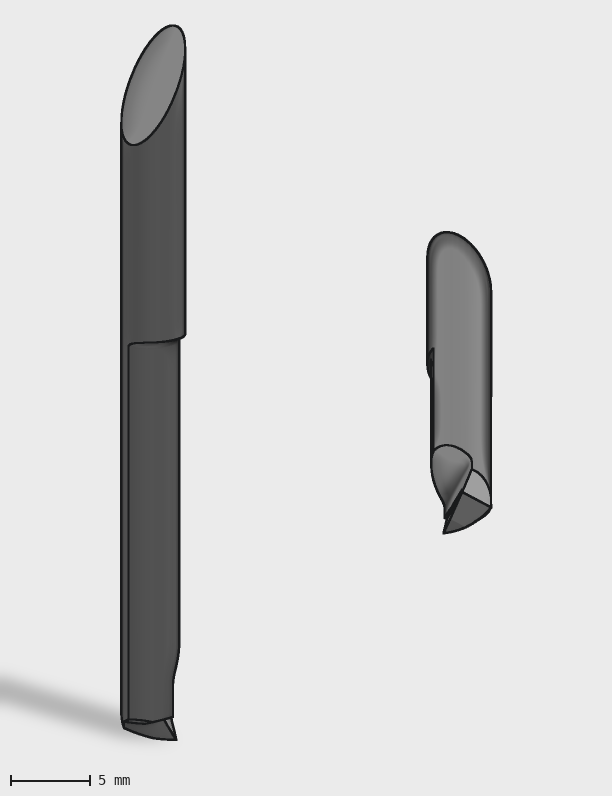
import cadquery as cq
import math

LENGTH = 45.7
RADIUS = 2.0
SLANT_ANGLE = math.radians(30)
REACH = 2 * RADIUS

NECK_SHIFT = 0.5
NECK_RADIUS = RADIUS
SHOULDER_Z = 26.05
SHOULDER_FILLET = 0.5

FLAT_Y = 0.25
RELIEF_TOP = 7.0
RELIEF_BLEND = 2.3

CHAMFER_TOP = 1.87
HEEL_X = -0.78
HEEL_Z = CHAMFER_TOP - (HEEL_X + RADIUS)
HEEL_Y = -1.87
FRONT_X = 1.0
FRONT_Y = -1.05
FRONT_Z = 0.15
SEAT_HEEL_Z = 1.05
SEAT_BEND_X = 0.55
SEAT_NOSE_Z = 1.35
NECK_EDGE_X = NECK_RADIUS - NECK_SHIFT


def make_blank():
    """Cylinder with its top sliced by a plane that rises towards +Y."""
    slant_height = 2 * RADIUS / math.tan(SLANT_ANGLE)
    profile = (
        cq.Workplane("YZ")
        .moveTo(-RADIUS, 0)
        .lineTo(RADIUS, 0)
        .lineTo(RADIUS, LENGTH)
        .lineTo(-RADIUS, LENGTH - slant_height)
        .close()
        .extrude(RADIUS, both=True)
    )
    return cq.Workplane("XY").circle(RADIUS).extrude(LENGTH).intersect(profile)


def cut_neck(body):
    """Turn the lower part about the shifted neck axis, with a fillet under the shoulder."""
    outer = NECK_RADIUS + REACH
    fillet_start = SHOULDER_Z - SHOULDER_FILLET
    fillet_mid = SHOULDER_FILLET * (1 - math.sqrt(0.5))
    waste = (
        cq.Workplane("XZ")
        .moveTo(NECK_RADIUS, 0)
        .lineTo(outer, 0)
        .lineTo(outer, SHOULDER_Z)
        .lineTo(NECK_RADIUS + SHOULDER_FILLET, SHOULDER_Z)
        .threePointArc((NECK_RADIUS + fillet_mid, SHOULDER_Z - fillet_mid), (NECK_RADIUS, fillet_start))
        .close()
        .revolve(360, (0, 0, 0), (0, 1, 0))
        .translate((-NECK_SHIFT, 0, 0))
    )
    return body.cut(waste)


def cut_rear_relief(body):
    """Remove the +Y side of the cutting end, down to the flat."""
    flat_top = RELIEF_TOP - (RADIUS - FLAT_Y) / math.tan(SLANT_ANGLE)
    waste = (
        cq.Workplane("YZ")
        .moveTo(FLAT_Y, 0)
        .lineTo(RADIUS, 0)
        .lineTo(RADIUS, RELIEF_TOP)
        .lineTo(FLAT_Y, flat_top)
        .close()
        .extrude(REACH, both=True)
        .edges(cq.selectors.NearestToPointSelector((0, FLAT_Y, flat_top)))
        .fillet(RELIEF_BLEND)
    )
    return body.cut(waste)


def cut_chamfer(body):
    """Chamfer the -X side of the cutting end at 45 degrees."""
    waste = (
        cq.Workplane("XZ")
        .moveTo(-RADIUS, 0)
        .lineTo(CHAMFER_TOP - RADIUS, 0)
        .lineTo(-RADIUS, CHAMFER_TOP)
        .close()
        .extrude(REACH, both=True)
    )
    return body.cut(waste)


def cut_seat(body):
    """Remove the end below the sloping seat, to make room for the tip."""
    waste = (
        cq.Workplane("XZ")
        .moveTo(HEEL_X, 0)
        .lineTo(NECK_EDGE_X, 0)
        .lineTo(NECK_EDGE_X, SEAT_NOSE_Z)
        .lineTo(SEAT_BEND_X, SEAT_HEEL_Z)
        .lineTo(HEEL_X, SEAT_HEEL_Z)
        .close()
        .extrude(REACH, both=True)
    )
    return body.cut(waste)


def front_arc():
    """Centre and radius of the circle through the heel, middle and nose of the tip's front."""
    ax, ay = HEEL_X - RADIUS, HEEL_Y
    bx, by = FRONT_X - RADIUS, FRONT_Y
    twice_area = 2 * (ax * by - ay * bx)
    a_squared = ax**2 + ay**2
    b_squared = bx**2 + by**2
    centre_x = (by * a_squared - ay * b_squared) / twice_area
    centre_y = (ax * b_squared - bx * a_squared) / twice_area
    return RADIUS + centre_x, centre_y, math.hypot(centre_x, centre_y)


def cut_clearance(body):
    """Taper the shank down at 45 degrees from the round neck to the curved front of the tip."""
    centre_x, centre_y, radius = front_arc()
    waste = (
        cq.Workplane("XZ")
        .moveTo(radius, 0)
        .lineTo(radius + REACH, 0)
        .lineTo(radius + REACH, SEAT_HEEL_Z + REACH)
        .lineTo(radius, SEAT_HEEL_Z)
        .close()
        .revolve(360, (0, 0, 0), (0, 1, 0))
        .translate((centre_x, centre_y, 0))
    )
    front_side = (
        cq.Workplane("XY")
        .box(2 * REACH, REACH, LENGTH, centered=(True, False, False))
        .translate((0, -REACH, 0))
    )
    return body.cut(waste.intersect(front_side))


def make_shank():
    body = cut_neck(make_blank())
    body = cut_rear_relief(body)
    body = cut_chamfer(body)
    body = cut_seat(body)
    return cut_clearance(body)


def make_tip():
    """Pointed wedge whose nose reaches past the neck on +X."""
    side = (
        cq.Workplane("XZ")
        .moveTo(HEEL_X, HEEL_Z)
        .lineTo(FRONT_X, FRONT_Z)
        .lineTo(RADIUS, 0)
        .lineTo(NECK_EDGE_X, SEAT_NOSE_Z)
        .lineTo(SEAT_BEND_X, SEAT_HEEL_Z)
        .lineTo(HEEL_X, SEAT_HEEL_Z)
        .close()
        .extrude(REACH, both=True)
    )
    plan = (
        cq.Workplane("XY")
        .moveTo(HEEL_X, FLAT_Y)
        .lineTo(RADIUS, 0)
        .threePointArc((FRONT_X, FRONT_Y), (HEEL_X, HEEL_Y))
        .close()
        .extrude(SEAT_NOSE_Z)
    )
    return side.intersect(plan)


shank = make_shank()
tip = make_tip()

result = cq.Compound.makeCompound([shank.val(), tip.val()])